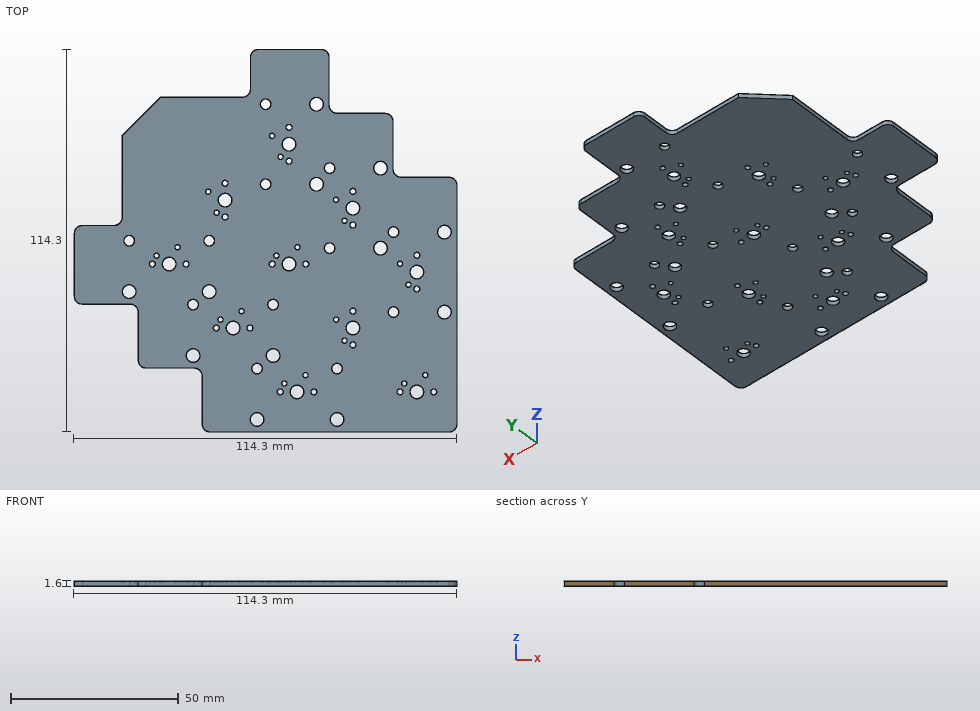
import cadquery as cq

SIDE = 114.3
THICKNESS = 1.6
KEY_PITCH = 19.1

TAB_TOP = 61.7
BODY_LEFT = 14.3
CORNER_CUT = 11.4
CORNER_RADIUS = 2.4

WIDE_KEY_X = 28.3
WIDE_KEY_Y = 50.2
WIDE_KEY_COUNT = 3
DIAGONAL_KEY_X = 45.0
DIAGONAL_KEY_COUNT = 4

POST_DIAMETER = 4.0
SIDE_PIN_DIAMETER = 1.7
SIDE_PIN_OFFSET = 5.0
CONTACT_DIAMETER = 1.5
CONTACT_OFFSETS = [(-3.8, 2.5), (2.5, 5.0)]

STABILIZER_SPACING = 23.9
CLIP_DIAMETER = 3.1
CLIP_Y = 7.0
STEM_DIAMETER = 4.0
STEM_Y = -8.2


def mirrored(point):
    """Reflect a point across the plate's diagonal of symmetry."""
    x, y = point
    return (SIDE - y, SIDE - x)


def row_of_keys(x, y, count):
    """Key centres stepping one pitch right and one pitch down."""
    return [(x + i * KEY_PITCH, y - i * KEY_PITCH) for i in range(count)]


def plate_blank():
    lower_corners = [
        (2 * KEY_PITCH, 0),
        (2 * KEY_PITCH, KEY_PITCH),
        (KEY_PITCH, KEY_PITCH),
        (KEY_PITCH, 2 * KEY_PITCH),
        (0, 2 * KEY_PITCH),
        (0, TAB_TOP),
        (BODY_LEFT, TAB_TOP),
    ]
    upper_corners = [mirrored(corner) for corner in reversed(lower_corners)]
    body_corner = (BODY_LEFT, SIDE - BODY_LEFT)
    outline = [(SIDE, 0)] + lower_corners + [body_corner] + upper_corners

    blank = cq.Workplane("XY").polyline(outline).close().extrude(THICKNESS)
    blank = blank.edges("|Z").fillet(CORNER_RADIUS)

    cut_triangle = [
        body_corner,
        (BODY_LEFT + CORNER_CUT, SIDE - BODY_LEFT),
        (BODY_LEFT, SIDE - BODY_LEFT - CORNER_CUT),
    ]
    return blank.cut(cq.Workplane("XY").polyline(cut_triangle).close().extrude(THICKNESS))


def drill(plate, center, offsets, diameter, upright):
    """Drill through holes around a key centre; an upright key is turned 90 degrees counterclockwise."""
    if upright:
        offsets = [(-y, x) for x, y in offsets]
    points = [(center[0] + x, center[1] + y) for x, y in offsets]
    drills = cq.Workplane("XY").pushPoints(points).circle(diameter / 2).extrude(THICKNESS)
    return plate.cut(drills)


def add_key(plate, center, upright):
    side_pins = [(-SIDE_PIN_OFFSET, 0), (SIDE_PIN_OFFSET, 0)]
    plate = drill(plate, center, [(0, 0)], POST_DIAMETER, upright)
    plate = drill(plate, center, side_pins, SIDE_PIN_DIAMETER, upright)
    return drill(plate, center, CONTACT_OFFSETS, CONTACT_DIAMETER, upright)


def add_stabilizer(plate, center, upright):
    sides = (-STABILIZER_SPACING / 2, STABILIZER_SPACING / 2)
    plate = drill(plate, center, [(x, CLIP_Y) for x in sides], CLIP_DIAMETER, upright)
    return drill(plate, center, [(x, STEM_Y) for x in sides], STEM_DIAMETER, upright)


result = plate_blank()

for key in row_of_keys(WIDE_KEY_X, WIDE_KEY_Y, WIDE_KEY_COUNT):
    for key_center, is_upright in ((key, False), (mirrored(key), True)):
        result = add_key(result, key_center, is_upright)
        result = add_stabilizer(result, key_center, is_upright)

diagonal_keys = row_of_keys(DIAGONAL_KEY_X, SIDE - DIAGONAL_KEY_X, DIAGONAL_KEY_COUNT)
for index, key in enumerate(diagonal_keys):
    result = add_key(result, key, upright=index % 2 == 0)